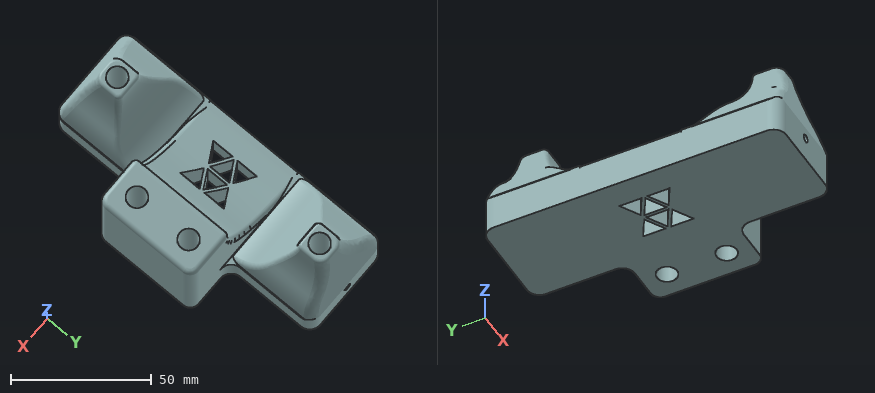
import cadquery as cq
import math

base_width = 40.0
base_length = 120.0
base_height = 15.0
base_corner = 5.0
rim_round = 1.0
rim_half_length = 20.4

total_width = 61.0
total_height = 55.0
block_half_length = 22.0
block_corner = 4.0
block_round = 2.0
cradle_radius = 37.0
cradle_center_x = base_width - cradle_radius
cradle_center_z = base_height + cradle_radius
block_lip_x = 1.5

tower_height = 44.0
tower_x = base_width / 2
tower_y = 47.0
tower_top_half = 6.0
shoulder_radius = base_width / 2
shoulder_center_z = 11.6
neck_center_z = 45.5
tower_inner_radius = 31.8
tower_root_z = 13.2
outer_edge_round = 4.0
inner_edge_round = 2.0
tower_top_round = 1.5

bore_diameter = 8.0
mount_hole_x = 50.8
mount_hole_y = 12.0
pin_hole_diameter = 3.0
pin_hole_z = 10.1
bore_floor_z = pin_hole_z - pin_hole_diameter / 2

window_pitch = 11.3
window_gap = 1.3
window_side = window_pitch - window_gap * math.sqrt(3)
window_row = window_pitch * math.sqrt(3) / 2


def plate(x_min, x_max, length, height):
    """Flat box standing on Z = 0, centred on Y."""
    corner = cq.Workplane("XY", origin=(x_min, 0, 0))
    return corner.box(x_max - x_min, length, height, centered=(False, True, False))


def base_footprint(height):
    """Base outline with rounded corners, raised to the given height."""
    return plate(0, base_width, base_length, height).edges("|Z").fillet(base_corner)


def rim_cutter():
    """Strip that rounds the front edge of the base between the towers."""
    length = 2 * rim_half_length
    strip = plate(0, rim_round, length, rim_round)
    rod = cq.Workplane("XZ").center(rim_round, 0).circle(rim_round).extrude(length / 2, both=True)
    return strip.cut(rod).translate((0, 0, base_height - rim_round))


def make_base():
    """Base plate joined to the foot of the back block, with rounded inside corners."""
    foot = plate(base_width / 2, total_width, 2 * block_half_length, base_height)
    foot = foot.edges("|Z and >X").fillet(block_corner)
    base = base_footprint(base_height).union(foot)
    inside_corners = cq.selectors.BoxSelector(
        (base_width - base_corner, -block_half_length - base_corner, 0),
        (base_width + base_corner, block_half_length + base_corner, base_height),
    )
    base = base.edges("|Z").edges(inside_corners).fillet(base_corner)
    return base.cut(rim_cutter())


def make_block():
    """Back block; its rounded front lip is buried in the base below the cradle."""
    arc_reach = cradle_radius * math.sqrt(0.5)
    block = (
        cq.Workplane("XZ")
        .moveTo(block_lip_x, 0)
        .lineTo(total_width, 0)
        .lineTo(total_width, total_height)
        .lineTo(base_width, total_height)
        .lineTo(base_width, cradle_center_z)
        .threePointArc(
            (cradle_center_x + arc_reach, cradle_center_z - arc_reach),
            (cradle_center_x, base_height),
        )
        .lineTo(block_lip_x, base_height)
        .close()
        .extrude(block_half_length, both=True)
    )
    block = block.edges("|Z and >X").fillet(block_corner)
    cradle_zone = cq.selectors.BoxSelector(
        (0, -base_length, base_height - block_round),
        (base_width + block_round, base_length, total_height - block_round),
    )
    top_edges = block.faces(">Z").edges()
    cradle_edges = block.faces(">Y or <Y").edges(cradle_zone).edges("not(|Z and <X)")
    return top_edges.add(cradle_edges).fillet(block_round)


def tower_front_profile():
    """Bottle outline across X: convex shoulders flowing tangentially into a concave neck."""
    rise = neck_center_z - shoulder_center_z
    spread = shoulder_radius - tower_top_half
    neck_radius = (rise**2 + tower_top_half**2 - shoulder_radius**2) / (2 * spread)
    neck_offset = tower_top_half + neck_radius
    share = shoulder_radius / (shoulder_radius + neck_radius)
    joint_x = neck_offset * share
    joint_z = shoulder_center_z + rise * share

    def shoulder(z):
        return math.sqrt(shoulder_radius**2 - (z - shoulder_center_z) ** 2)

    def neck(z):
        return neck_offset - math.sqrt(neck_radius**2 - (z - neck_center_z) ** 2)

    shoulder_mid_z = (tower_root_z + joint_z) / 2
    neck_mid_z = (tower_height + joint_z) / 2
    return (
        cq.Workplane("XZ")
        .center(tower_x, 0)
        .moveTo(-shoulder(tower_root_z), tower_root_z)
        .lineTo(shoulder(tower_root_z), tower_root_z)
        .threePointArc((shoulder(shoulder_mid_z), shoulder_mid_z), (joint_x, joint_z))
        .threePointArc((neck(neck_mid_z), neck_mid_z), (neck(tower_height), tower_height))
        .lineTo(-neck(tower_height), tower_height)
        .threePointArc((-neck(neck_mid_z), neck_mid_z), (-joint_x, joint_z))
        .threePointArc((-shoulder(shoulder_mid_z), shoulder_mid_z), (-shoulder(tower_root_z), tower_root_z))
        .close()
        .extrude(-base_length)
    )


def tower_side_profile():
    """Side outline: sloping outer face and a concave arc facing the cradle."""
    outer_top = tower_y + tower_top_half
    inner_top = tower_y - tower_top_half
    arc_center_y = inner_top - tower_inner_radius
    slope = (base_length / 2 - outer_top) / (tower_height - base_height)
    outer_root = outer_top + slope * (tower_height - tower_root_z)

    def inner(z):
        return arc_center_y + math.sqrt(tower_inner_radius**2 - (tower_height - z) ** 2)

    middle_z = (tower_root_z + tower_height) / 2
    return (
        cq.Workplane("YZ")
        .moveTo(outer_root, tower_root_z)
        .lineTo(outer_top, tower_height)
        .lineTo(inner_top, tower_height)
        .threePointArc((inner(middle_z), middle_z), (inner(tower_root_z), tower_root_z))
        .close()
        .extrude(base_width)
    )


def rising_edges(tower, side):
    """Edges climbing the tower on its cradle side (-1) or its outer side (+1)."""
    chosen = []
    for edge in tower.edges().vals():
        climbs = edge.BoundingBox().zlen > tower_top_round
        if climbs and side * (edge.Center().y - tower_y) > 0:
            chosen.append(edge)
    return chosen


def make_tower():
    """One tower at +Y, its root clipped to the base outline."""
    tower = tower_front_profile().intersect(tower_side_profile())
    tower = tower.newObject(rising_edges(tower, -1)).fillet(inner_edge_round)
    tower = tower.newObject(rising_edges(tower, 1)).fillet(outer_edge_round)
    tower = tower.faces(">Z").edges().fillet(tower_top_round)
    return tower.intersect(base_footprint(total_height))


def drill(diameter, x, y, floor_z):
    """Vertical round cutter, open upward from its floor."""
    return cq.Workplane("XY", origin=(x, y, floor_z)).circle(diameter / 2).extrude(total_height)


def window(x, y, pointing):
    """Triangular cutter; pointing is +1 or -1 for an apex toward +X or -X."""
    circumradius = window_side / math.sqrt(3)
    corners = []
    for turn in (0, 120, 240):
        angle = math.radians(turn)
        corners.append((pointing * circumradius * math.cos(angle), circumradius * math.sin(angle)))
    return cq.Workplane("XY", origin=(x, y, 0)).polyline(corners).close().extrude(total_height)


def make_holes():
    """All cutters: mounting holes, tower bores with their end pin holes, and windows."""
    cutters = []
    for side in (-1, 1):
        cutters.append(drill(bore_diameter, mount_hole_x, side * mount_hole_y, 0))
        cutters.append(drill(bore_diameter, tower_x, side * tower_y, bore_floor_z))
        pin_start = cq.Workplane("XZ", origin=(tower_x, side * tower_y, pin_hole_z))
        cutters.append(pin_start.circle(pin_hole_diameter / 2).extrude(-side * base_length))

        cutters.append(window(tower_x + side * window_row / 3, 0, side))
        corner_x = tower_x + side * window_row * 2 / 3
        for end in (-1, 1):
            cutters.append(window(corner_x, end * window_pitch / 2, -side))
    return cutters


tower_part = make_tower()
result = make_base().union(make_block()).union(tower_part).union(tower_part.mirror("XZ"))
for cutter in make_holes():
    result = result.cut(cutter)